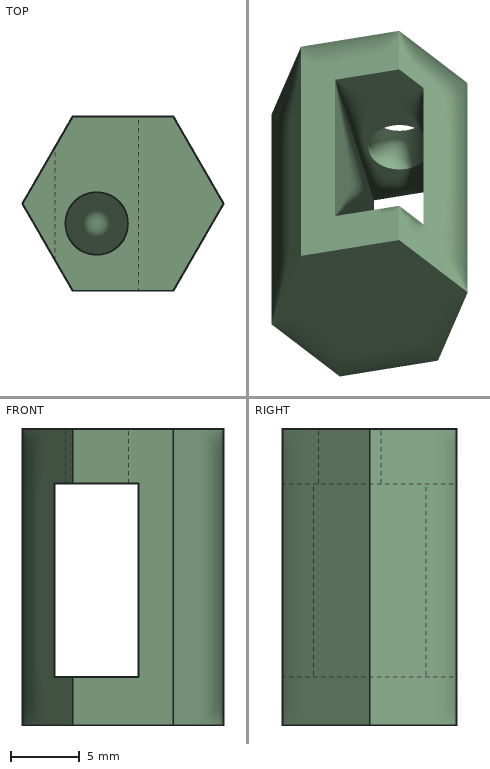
import cadquery as cq
import math

across_flats = 12.73
hexagon_sides = 6
across_corners = across_flats / math.cos(math.pi / hexagon_sides)
height = 21.65
top_z = height / 2

window_left = -4.98
window_right = 1.12
window_top = 6.83
window_bottom = -7.28

hole_diameter = 4.57
hole_x = -1.92
hole_y = -1.45


def make_body():
    return (
        cq.Workplane("XY")
        .workplane(offset=-top_z)
        .polygon(hexagon_sides, across_corners)
        .extrude(height)
    )


def make_window():
    window_width = window_right - window_left
    window_height = window_top - window_bottom
    center_x = (window_left + window_right) / 2
    center_z = (window_top + window_bottom) / 2
    window = cq.Workplane("XY").box(window_width, across_flats, window_height)
    return window.translate((center_x, 0, center_z))


def make_hole():
    return (
        cq.Workplane("XY")
        .workplane(offset=window_top)
        .center(hole_x, hole_y)
        .circle(hole_diameter / 2)
        .extrude(top_z - window_top)
    )


result = make_body().cut(make_window()).cut(make_hole())